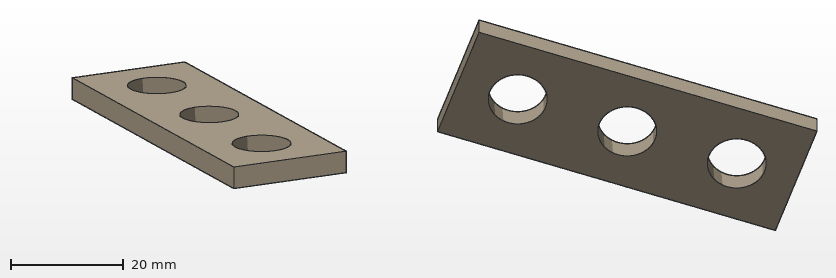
import cadquery as cq

length = 63.5
width = 22.35
thickness = 4.0

hole_diameter = 10.4
hole_pitch = 20.6
hole_count = 3

plate = cq.Workplane("XY").box(length, width, thickness)

result = (
    plate.faces(">Z")
    .workplane()
    .rarray(hole_pitch, 0.65, hole_count, 1)
    .hole(hole_diameter)
)